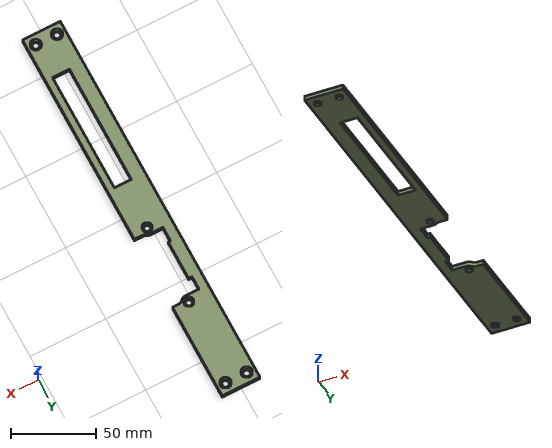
import cadquery as cq
import math

width = 25.0
length = 250.0
thickness = 3.0
right = width / 2
left = -right
top = length / 2

countersink_angle = 90
corner_hole_dia = 4.5
corner_sink_dia = 7.0
corner_hole_x = 7.0
corner_hole_y = top - 6.2
latch_hole_dia = 4.2
latch_sink_dia = 6.2
latch_hole_x = left + 15.0
upper_hole_y = top - 60.8
lower_hole_y = top - 113.0

boss_radius = 4.2
shoulder_fillet = 3.8
upper_shoulder_y = top - 62.2
lower_shoulder_y = top - 110.0
upper_recess_x = left + 6.0
lower_recess_x = left + 6.8
tongue_x = left + 8.2
tongue_top_y = top - 73.8
tongue_bottom_y = top - 99.2

slot_width = 11.2
slot_length = 77.5
slot_x = left + 14.8
slot_y = top - 182.5


def boss_curve(hole_y, shoulder_y, inward):
    """Points of the S-curve from the boss tip to the shoulder.

    The boss arc is concentric with the hole and a fillet joins it to the shoulder.
    inward is the Y direction from the hole into the notch: -1 or +1.
    """
    fillet_y = shoulder_y + inward * shoulder_fillet
    rise = inward * (fillet_y - hole_y)
    reach = math.sqrt((boss_radius + shoulder_fillet) ** 2 - rise**2)
    join_angle = math.atan2(rise, reach)
    fillet_x = latch_hole_x + reach

    def boss_point(angle):
        return (
            latch_hole_x + boss_radius * math.cos(angle),
            hole_y + inward * boss_radius * math.sin(angle),
        )

    def fillet_point(angle):
        return (
            fillet_x - shoulder_fillet * math.cos(angle),
            fillet_y - inward * shoulder_fillet * math.sin(angle),
        )

    quarter_turn = math.pi / 2
    middle_angle = (join_angle + quarter_turn) / 2
    return [
        boss_point(quarter_turn),
        boss_point(middle_angle),
        boss_point(join_angle),
        fillet_point(middle_angle),
        fillet_point(quarter_turn),
    ]


def latch_notch():
    upper = boss_curve(upper_hole_y, upper_shoulder_y, -1)
    lower = boss_curve(lower_hole_y, lower_shoulder_y, 1)
    upper_tip_y = upper[0][1]
    lower_tip_y = lower[0][1]
    return (
        cq.Workplane("XY")
        .moveTo(right, upper_shoulder_y)
        .lineTo(*upper[4])
        .threePointArc(upper[3], upper[2])
        .threePointArc(upper[1], upper[0])
        .lineTo(upper_recess_x, upper_tip_y)
        .lineTo(upper_recess_x, tongue_top_y)
        .lineTo(tongue_x, tongue_top_y)
        .lineTo(tongue_x, tongue_bottom_y)
        .lineTo(lower_recess_x, tongue_bottom_y)
        .lineTo(lower_recess_x, lower_tip_y)
        .lineTo(*lower[0])
        .threePointArc(lower[1], lower[2])
        .threePointArc(lower[3], lower[4])
        .lineTo(right, lower_shoulder_y)
        .close()
        .extrude(thickness)
    )


def bolt_slot():
    return (
        cq.Workplane("XY")
        .center(slot_x, slot_y)
        .rect(slot_width, slot_length)
        .extrude(thickness)
    )


def countersunk_holes(body, points, hole_dia, sink_dia):
    return (
        body.faces(">Z")
        .workplane(origin=(0, 0, thickness))
        .pushPoints(points)
        .cskHole(hole_dia, sink_dia, countersink_angle)
    )


corner_points = [(x, y) for x in (-corner_hole_x, corner_hole_x) for y in (-corner_hole_y, corner_hole_y)]
latch_points = [(latch_hole_x, y) for y in (upper_hole_y, lower_hole_y)]

plate = cq.Workplane("XY").box(width, length, thickness, centered=(True, True, False))
plate = plate.cut(latch_notch()).cut(bolt_slot())
plate = countersunk_holes(plate, corner_points, corner_hole_dia, corner_sink_dia)
result = countersunk_holes(plate, latch_points, latch_hole_dia, latch_sink_dia)